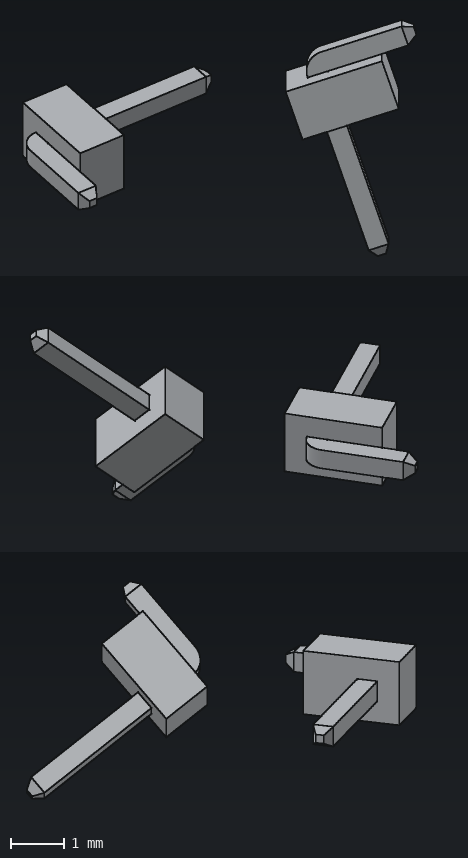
import cadquery as cq
import math

housing_length = 1.905
housing_depth = 1.0
housing_height = 1.27

pin_width = 0.4
pin_left = 0.435
post_end = 4.2
leg_end = 2.63
tip_length = 0.2
tip_slope = 30.0
tip_inset = tip_length * math.tan(math.radians(tip_slope))
tip_width = pin_width - 2 * tip_inset

bend_radius = pin_width
pin_center_x = pin_left + pin_width / 2
housing_front = pin_width


def make_tip(base_center, direction):
    """Square tip tapering along the given direction from the end of the bar."""
    base = cq.Plane(origin=base_center, xDir=(0, 0, 1), normal=direction)
    return (
        cq.Workplane(base)
        .rect(pin_width, pin_width)
        .workplane(offset=tip_length)
        .rect(tip_width, tip_width)
        .loft(ruled=True)
    )


def make_pin():
    """L-shaped square pin with a tapered tip at each end."""
    post_shoulder = post_end - tip_length
    leg_shoulder = leg_end - tip_length
    pin_right = pin_left + pin_width
    bend_mid = bend_radius * (1 - math.sqrt(0.5))
    bar = (
        cq.Workplane("XY")
        .workplane(offset=-pin_width / 2)
        .moveTo(pin_left + bend_radius, 0)
        .lineTo(leg_shoulder, 0)
        .lineTo(leg_shoulder, pin_width)
        .lineTo(pin_right, pin_width)
        .lineTo(pin_right, post_shoulder)
        .lineTo(pin_left, post_shoulder)
        .lineTo(pin_left, bend_radius)
        .threePointArc((pin_left + bend_mid, bend_mid), (pin_left + bend_radius, 0))
        .close()
        .extrude(pin_width)
    )
    post_tip = make_tip((pin_center_x, post_shoulder, 0), (0, 1, 0))
    leg_tip = make_tip((leg_shoulder, pin_width / 2, 0), (1, 0, 0))
    return bar.union(post_tip).union(leg_tip)


def make_housing():
    """Plain block with a square through hole that fits the post."""
    middle_y = housing_front + housing_depth / 2
    block = cq.Workplane("XY").box(housing_length, housing_depth, housing_height)
    block = block.translate((housing_length / 2, middle_y, 0))
    hole = cq.Workplane("XY").box(pin_width, housing_depth, pin_width)
    hole = hole.translate((pin_center_x, middle_y, 0))
    return block.cut(hole)


housing = make_housing()
pin = make_pin()

result = cq.Compound.makeCompound([housing.val(), pin.val()])